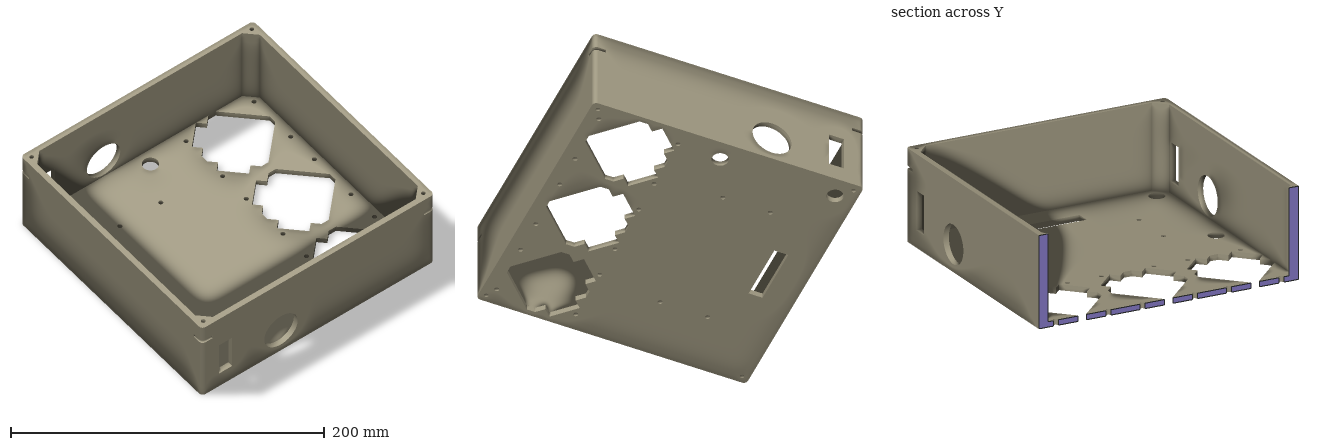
import cadquery as cq

side = 188.0
height = 64.0
wall = 4.0
floor = 4.0
outer_fillet = 3.0
cavity_side = side - 2 * wall
cavity_chamfer = 8.0

lid_hole_diameter = 3.0
lid_hole_inset = 5.0
nut_pocket_reach = 8.5
nut_pocket_fillet = 3.0
nut_pocket_height = 2.5
nut_pocket_depth_below_rim = 12.0

socket_pitch = 62.5
socket_center_y = 57.5
socket_side = 43.0
socket_corner_chamfer = 4.1
socket_tab_width = 20.8
socket_tab_depth = 7.1
socket_angle = 45.0
socket_screw_span_x = 38.0
socket_screw_span_y = 55.0

mount_hole_diameter = 3.25
board_span_x = 100.0
board_span_y = 33.0
board_center_y = -31.5

button_diameter = 11.0
button_x = -80.0
button_positions_y = (0.0, -80.0)
display_width = 41.0
display_depth = 9.75
display_center_y = -68.5

connector_diameter = 27.0
connector_y = -30.0
connector_z = 19.0
switch_width = 10.5
switch_height = 27.0
switch_y = -74.75
switch_z = 25.5


def box_shell():
    outer = cq.Workplane("XY").box(side, side, height, centered=(True, True, False))
    outer = outer.edges("|Z").fillet(outer_fillet)
    cavity = (
        cq.Workplane("XY", origin=(0, 0, floor))
        .rect(cavity_side, cavity_side)
        .extrude(height - floor)
        .edges("|Z")
        .chamfer(cavity_chamfer)
    )
    return outer.cut(cavity)


def lid_screw_holes():
    span = side - 2 * lid_hole_inset
    return (
        cq.Workplane("XY")
        .rect(span, span, forConstruction=True)
        .vertices()
        .circle(lid_hole_diameter / 2)
        .extrude(height)
    )


def nut_pockets():
    span = 2 * nut_pocket_reach
    pocket_bottom = height - nut_pocket_depth_below_rim - nut_pocket_height
    return (
        cq.Workplane("XY", origin=(0, 0, pocket_bottom))
        .rect(side, side, forConstruction=True)
        .vertices()
        .rect(span, span)
        .extrude(nut_pocket_height)
        .edges("|Z")
        .fillet(nut_pocket_fillet)
    )


def socket_opening(center_x):
    body = (
        cq.Workplane("XY")
        .rect(socket_side, socket_side)
        .extrude(floor)
        .edges("|Z")
        .chamfer(socket_corner_chamfer)
    )
    tab_reach = socket_side / 2 + socket_tab_depth
    tab_x = cq.Workplane("XY").center(-tab_reach / 2, 0).rect(tab_reach, socket_tab_width).extrude(floor)
    tab_y = cq.Workplane("XY").center(0, -tab_reach / 2).rect(socket_tab_width, tab_reach).extrude(floor)
    opening = body.union(tab_x).union(tab_y)
    opening = opening.rotate((0, 0, 0), (0, 0, 1), socket_angle)
    return opening.translate((center_x, socket_center_y, 0))


def floor_screw_holes(center_x, center_y, span_x, span_y):
    return (
        cq.Workplane("XY", origin=(center_x, center_y, 0))
        .rect(span_x, span_y, forConstruction=True)
        .vertices()
        .circle(mount_hole_diameter / 2)
        .extrude(floor)
    )


def button_holes():
    centers = [(button_x, y) for y in button_positions_y]
    return cq.Workplane("XY").pushPoints(centers).circle(button_diameter / 2).extrude(floor)


def display_window():
    return cq.Workplane("XY").center(0, display_center_y).rect(display_width, display_depth).extrude(floor)


def side_wall_openings():
    start = cq.Workplane("YZ", origin=(-side / 2, 0, 0))
    connector = start.center(connector_y, connector_z).circle(connector_diameter / 2).extrude(side)
    switch = start.center(switch_y, switch_z).rect(switch_width, switch_height).extrude(side)
    return connector.union(switch)


result = box_shell()
result = result.cut(lid_screw_holes())
result = result.cut(nut_pockets())
for socket_x in (-socket_pitch, 0.0, socket_pitch):
    result = result.cut(socket_opening(socket_x))
    result = result.cut(floor_screw_holes(socket_x, socket_center_y, socket_screw_span_x, socket_screw_span_y))
result = result.cut(floor_screw_holes(0.0, board_center_y, board_span_x, board_span_y))
result = result.cut(button_holes())
result = result.cut(display_window())
result = result.cut(side_wall_openings())